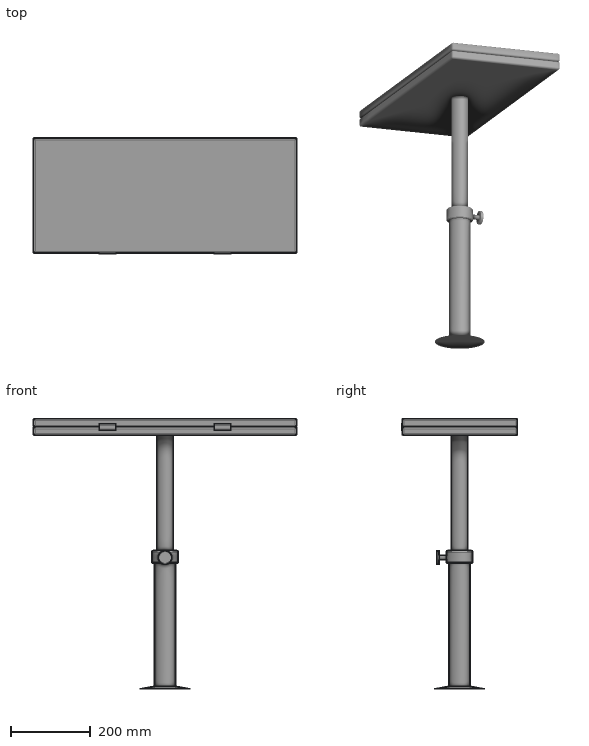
import cadquery as cq

table_length = 663.0
table_width = 290.0
board_thickness = 21.0
board_edge_radius = 5.0
overall_height = 680.0

hinge_length = 42.0
hinge_height = 17.0
hinge_thickness = 1.5
hinge_spacing = 289.5

lower_tube_radius = 54.0 / 2
upper_tube_radius = 21.0

collar_radius = 33.0
collar_bottom = 316.0
collar_height = 32.0
collar_top_radius = 5.0
collar_bottom_chamfer = 2.0

knob_height = 330.5
stem_radius = 6.0
knob_radius = 17.0
knob_edge_radius = 1.5
knob_thickness = 7.0
knob_reach = 58.0

flange_radius = 62.5
flange_hub_radius = 28.5
flange_height = 6.0

table_bottom = overall_height - 2 * board_thickness
table_center_y = hinge_thickness / 2
table_front = table_center_y - table_width / 2
table_joint = overall_height - board_thickness
collar_top = collar_bottom + collar_height


def cylinder(radius, bottom, top):
    return cq.Workplane("XY").workplane(offset=bottom).circle(radius).extrude(top - bottom)


def make_hinge(x):
    return (
        cq.Workplane("XY")
        .box(hinge_length, hinge_thickness, hinge_height)
        .translate((x, table_front - hinge_thickness / 2, table_joint))
    )


def make_board(bottom):
    return (
        cq.Workplane("XY")
        .workplane(offset=bottom)
        .center(0, table_center_y)
        .box(table_length, table_width, board_thickness, centered=(True, True, False))
        .edges()
        .fillet(board_edge_radius)
    )


def make_pedestal():
    flange = (
        cq.Workplane("XZ")
        .polyline([
            (0, 0),
            (flange_radius, 0),
            (flange_hub_radius, flange_height),
            (0, flange_height),
        ])
        .close()
        .revolve(360, (0, 0, 0), (0, 1, 0))
    )
    return flange.union(cylinder(lower_tube_radius, 0, collar_bottom))


def make_knob():
    axis = cq.Workplane("XZ", origin=(0, 0, knob_height))
    stem = axis.circle(stem_radius).extrude(knob_reach - knob_thickness).cut(upper_tube)
    head = axis.workplane(offset=knob_reach - knob_thickness).circle(knob_radius).extrude(knob_thickness)
    head = head.faces("<Y").edges().fillet(knob_edge_radius)
    return stem.union(head)


def make_collar():
    ring = cylinder(collar_radius, collar_bottom, collar_top)
    ring = ring.faces(">Z").edges().fillet(collar_top_radius)
    ring = ring.faces("<Z").edges().chamfer(collar_bottom_chamfer)
    return ring.cut(upper_tube).cut(knob)


hinges = [make_hinge(x) for x in (-hinge_spacing / 2, hinge_spacing / 2)]
lower_board = make_board(table_bottom)
upper_board = make_board(table_joint)
upper_tube = cylinder(upper_tube_radius, collar_bottom, table_bottom)
pedestal = make_pedestal()
knob = make_knob()
collar = make_collar()

result = cq.Compound.makeCompound([
    pedestal.val(),
    collar.val(),
    knob.val(),
    upper_tube.val(),
    lower_board.val(),
    upper_board.val(),
    *[hinge.val() for hinge in hinges],
])